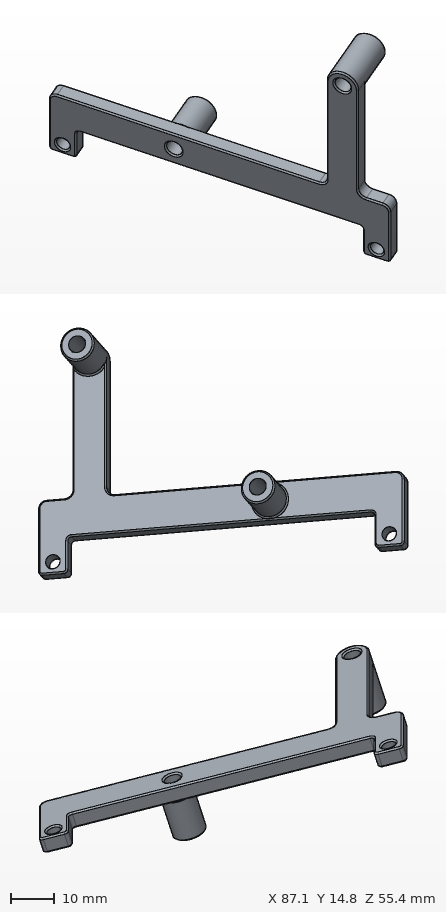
import cadquery as cq

length = 87.1
depth = 14.8
height = 55.4
plate_thickness = 4.0
bar_top = 18.0
bar_bottom = 8.7
leg_width = 7.0
arm_width = 8.0
arm_x = 74.9

shoulder_radius = 2.0
arm_root_radius = 2.0
leg_foot_radius = 1.0
leg_root_radius = 1.0
edge_chamfer = 0.4
hole_chamfer = 0.4
boss_flare = 0.4

boss_diameter = arm_width
boss_bore = 4.0
bar_boss_x = 31.9
bar_boss_z = (bar_bottom + bar_top) / 2
arm_boss_z = height - arm_width / 2

leg_hole = 3.4
leg_hole_z = 3.0
leg_hole_xs = (leg_width / 2, length - leg_width / 2)


def block(x_min, x_max, z_min, z_max):
    """Plate-thick block over the given X and Z range."""
    return cq.Workplane("XY").box(
        x_max - x_min, plate_thickness, z_max - z_min, centered=False
    ).translate((x_min, 0, z_min))


def cylinder(x, z, diameter, y_start, y_end):
    """Cylinder along Y."""
    return cq.Workplane(cq.Solid.makeCylinder(
        diameter / 2, y_end - y_start, cq.Vector(x, y_start, z), cq.Vector(0, 1, 0)
    ))


def cone(x, z, start_diameter, end_diameter, y_start, y_end):
    """Tapered disc along Y."""
    return cq.Workplane(cq.Solid.makeCone(
        start_diameter / 2, end_diameter / 2, y_end - y_start,
        cq.Vector(x, y_start, z), cq.Vector(0, 1, 0)
    ))


def round_corners(body, corners, radius):
    """Fillet the edges along Y that stand at the given (x, z) corners."""
    for x, z in corners:
        corner = cq.selectors.NearestToPointSelector((x, plate_thickness / 2, z))
        body = body.edges("|Y").edges(corner).fillet(radius)
    return body


def make_plate():
    arm_left = arm_x - arm_width / 2
    arm_right = arm_x + arm_width / 2
    leg_inner_xs = (leg_width, length - leg_width)

    plate = block(0, length, 0, bar_top)
    plate = plate.cut(block(*leg_inner_xs, 0, bar_bottom))
    plate = plate.union(block(arm_left, arm_right, bar_bottom, arm_boss_z))

    feet = [(x, 0) for x in (0, *leg_inner_xs, length)]
    plate = round_corners(plate, [(0, bar_top), (length, bar_top)], shoulder_radius)
    plate = round_corners(plate, [(arm_left, bar_top), (arm_right, bar_top)], arm_root_radius)
    plate = round_corners(plate, feet, leg_foot_radius)
    plate = round_corners(plate, [(x, bar_bottom) for x in leg_inner_xs], leg_root_radius)

    plate = plate.union(cylinder(arm_x, arm_boss_z, arm_width, 0, plate_thickness))
    return plate.faces("<Y or >Y").chamfer(edge_chamfer)


def make_boss(x, z, y_start):
    """Boss with a chamfered free end."""
    return cylinder(x, z, boss_diameter, y_start, depth).faces(">Y").chamfer(edge_chamfer)


def make_flare(x, z):
    """Small conical skirt where a boss meets the back of the plate."""
    return cone(
        x, z, boss_diameter + 2 * boss_flare, boss_diameter,
        plate_thickness, plate_thickness + boss_flare,
    )


def make_arm_flare():
    """Skirt of the arm boss, kept only over the flat back of the arm."""
    flat_width = arm_width - 2 * edge_chamfer
    flat = cq.Workplane("XY").box(flat_width, depth, arm_width, centered=(True, False, False))
    flat = flat.translate((arm_x, 0, arm_boss_z - arm_width))
    return make_flare(arm_x, arm_boss_z).intersect(flat)


def drill(body, x, z, diameter):
    """Through hole along Y, countersunk slightly at the front face."""
    body = body.cut(cylinder(x, z, diameter, 0, depth))
    return body.cut(cone(x, z, diameter + 2 * hole_chamfer, diameter, 0, hole_chamfer))


result = make_plate()
result = result.union(make_boss(bar_boss_x, bar_boss_z, plate_thickness))
result = result.union(make_flare(bar_boss_x, bar_boss_z))

result = result.union(make_boss(arm_x, arm_boss_z, edge_chamfer))
result = result.union(make_arm_flare())

result = drill(result, bar_boss_x, bar_boss_z, boss_bore)
result = drill(result, arm_x, arm_boss_z, boss_bore)
for leg_hole_x in leg_hole_xs:
    result = drill(result, leg_hole_x, leg_hole_z, leg_hole)